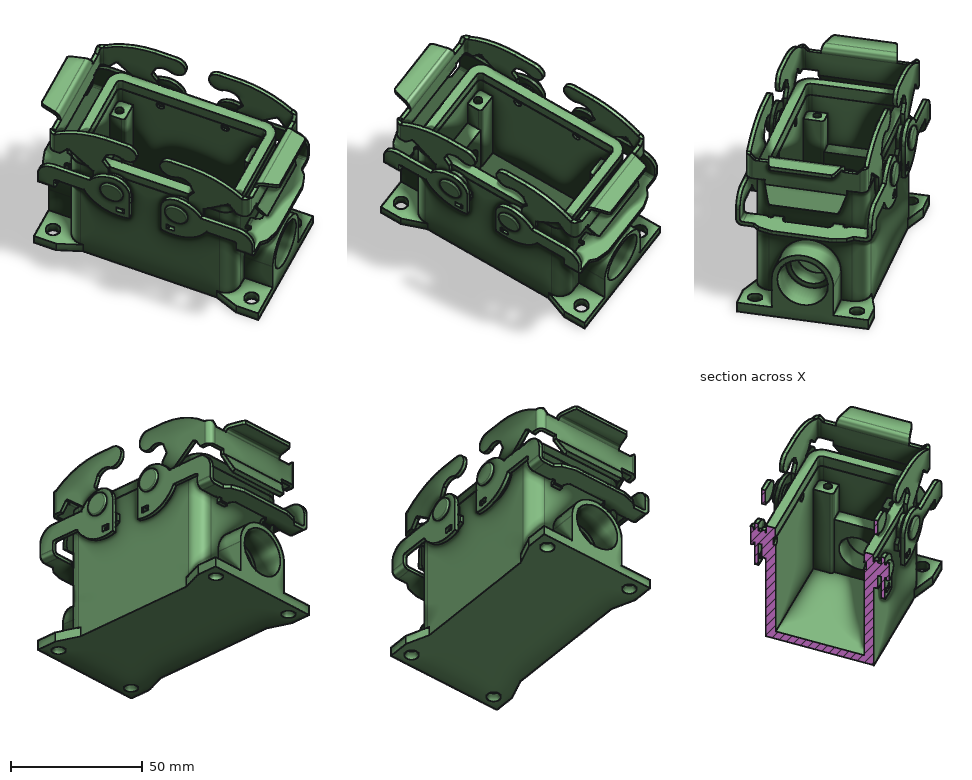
import cadquery as cq
import math

BODY_LENGTH = 69.7
BODY_WIDTH = 44.3
BODY_HEIGHT = 57.0
BODY_CORNER_RADIUS = 5.9
RIM_HEIGHT = 4.1
RIM_STEP = 0.1
MOUTH_DEPTH = 5.0

CAVITY_LENGTH = 61.8
CAVITY_WIDTH = 36.0
CAVITY_CORNER_RADIUS = 1.7

BASE_LENGTH = 93.2
BASE_WIDTH = 51.7
BASE_THICKNESS = 4.1
FOOT_FLAT_END = 37.4
FOOT_TAPER_END = 27.7
FOOT_HOLE_DIAMETER = 5.5
FOOT_HOLE_X = 41.3
FOOT_HOLE_Y = 20.0

ENTRY_RADIUS = 12.1
ENTRY_HEIGHT = 16.8
ENTRY_BORE_RADIUS = 9.9
ENTRY_BORE_DEPTH = 12.8
ENTRY_PASSAGE_RADIUS = 7.9

POST_LENGTH = 6.1
POST_WIDTH = 8.1
POST_TOP = 44.7
POST_CORNER_RADIUS = 1.3
SCREW_HOLE_DIAMETER = 3.2
SCREW_HOLE_DEPTH = 11.9
SCREW_HOLE_X = 28.4
SCREW_HOLE_Y = 13.5
LEDGE_LENGTH_MINUS_X = 5.0
LEDGE_LENGTH_PLUS_X = 6.0
LEDGE_TOP = 31.1

PIVOT_X = 13.5
PIVOT_Z = 50.0
PIN_DIAMETER = 6.9
PIN_HEAD_DIAMETER = 9.5
PIN_HEAD_THICKNESS = 1.3
PIN_HEAD_FILLET = 0.6
PIN_TIP = 28.5
RIVET_HOLE_DIAMETER = 3.2
RIVET_HOLE_DEPTH = 1.0

SHEET = 1.6
BEND_RADIUS = 2.7
BEND_OVERLAP = 0.5
BAIL_FACE_Y = 26.7
LEVER_FACE_Y = 23.9

BAIL_BACK_X = -44.6
BAIL_FRONT_X = -37.9
BAIL_NOSE_X = -48.3
BAIL_MIDDLE_X = -40.6
BAIL_BOTTOM = 37.6
BAIL_ARM_BOTTOM = 43.9
BAIL_ARM_TOP = 51.1
BAIL_ELBOW_RADIUS = 6.6
BAIL_INNER_FILLET = 1.0
BAIL_HEAD_RADIUS = 6.9
BAIL_END_X = BAIL_HEAD_RADIUS - PIVOT_X
STOP_TIP_X = -36.0
STOP_INNER_Y = 9.8
STOP_OUTER_Y = 13.9
STOP_DROP = 0.8
STOP_BEND_RADIUS = 1.5
BAR_BLEND_Y = 16.4
WINDOW_X = (-12.1, -8.7)
WINDOW_Z = (37.8, 40.1)
WINDOW_FILLET = 0.4
TONGUE_THICKNESS = 0.9
TONGUE_RECESS = 0.2

LEVER_BACK_X = -41.7
LEVER_BOTTOM = 57.3
LEVER_TOP = 67.4
LEVER_MIDDLE_TOP = 65.4
DIP_HALF_WIDTH = 22.1
HOOK_TOP = 75.0
HOOK_NOSE_RADIUS = 4.4
HOOK_NOSE_X = -9.2
LEVER_TAIL_X = -22.9
LEVER_TAIL_Z = 49.5
LEVER_TAIL_BOTTOM = 39.9
LEVER_TAIL_END_X = -7.0
HANDLE_TIP_X = -49.5
HANDLE_TOP = 68.4
HANDLE_ROOT_Y = 15.0
FLAP_TOP = 55.3
FLAP_BOTTOM = 47.7
FLAP_REACH = 3.4
FLAP_ROOT_Y = 16.0


def box(x_range, y_range, z_range):
    """Axis-aligned box between the given pairs of limits."""
    (x0, x1), (y0, y1), (z0, z1) = x_range, y_range, z_range
    return cq.Workplane("XY").box(x1 - x0, y1 - y0, z1 - z0, centered=False).translate((x0, y0, z0))


def rounded_block(length, width, radius, bottom, top):
    """Upright block with rounded vertical edges."""
    block = cq.Workplane("XY").workplane(offset=bottom).rect(length, width).extrude(top - bottom)
    return block.edges("|Z").fillet(radius)


def along_y(x, z, diameter, y0, y1):
    """Cylinder parallel to Y between y0 and y1."""
    plane = cq.Plane(origin=(x, y0, z), xDir=(1, 0, 0), normal=(0, 1, 0))
    return cq.Workplane(plane).circle(diameter / 2).extrude(y1 - y0)


def both_sides(shape):
    """Shape together with its mirror image across the XZ plane."""
    return shape.union(shape.mirror("XZ"))


def with_mirrored_second(half):
    """Points of a half outline followed by their mirror images, second coordinate negated."""
    return half + [(a, -b) for a, b in reversed(half)]


def with_mirrored_first(half):
    """Points of a half outline followed by their mirror images, first coordinate negated."""
    return half + [(-a, b) for a, b in reversed(half)]


def make_base():
    """Mounting plate with four tapered feet."""
    x_end, y_end = BASE_LENGTH / 2, BASE_WIDTH / 2
    quarter_edge = [(x_end, y_end), (FOOT_FLAT_END, y_end), (FOOT_TAPER_END, BODY_WIDTH / 2)]
    outline = with_mirrored_second(with_mirrored_first(quarter_edge))
    base = cq.Workplane("XY").polyline(outline).close().extrude(BASE_THICKNESS)
    return (
        base.faces(">Z").workplane(origin=(0, 0, BASE_THICKNESS))
        .rect(2 * FOOT_HOLE_X, 2 * FOOT_HOLE_Y, forConstruction=True)
        .vertices().hole(FOOT_HOLE_DIAMETER)
    )


def entry_cylinder(radius, length):
    """Cylinder on the cable entry axis, centred on the body."""
    return (
        cq.Workplane("YZ", origin=(-length / 2, 0, ENTRY_HEIGHT)).circle(radius).extrude(length)
    )


def make_shell():
    """Hollow body with a slightly stepped rim."""
    shoulder = BODY_HEIGHT - RIM_HEIGHT
    body = rounded_block(BODY_LENGTH, BODY_WIDTH, BODY_CORNER_RADIUS, 0, shoulder)
    rim = rounded_block(
        BODY_LENGTH - 2 * RIM_STEP, BODY_WIDTH - 2 * RIM_STEP,
        BODY_CORNER_RADIUS - RIM_STEP, shoulder, BODY_HEIGHT,
    )
    entry = (
        box((-BASE_LENGTH / 2, BASE_LENGTH / 2), (-ENTRY_RADIUS, ENTRY_RADIUS), (0, ENTRY_HEIGHT))
        .union(entry_cylinder(ENTRY_RADIUS, BASE_LENGTH))
    )
    mouth_bottom = BODY_HEIGHT - MOUTH_DEPTH
    cavity = rounded_block(CAVITY_LENGTH, CAVITY_WIDTH, CAVITY_CORNER_RADIUS, BASE_THICKNESS, mouth_bottom)
    mouth = rounded_block(
        CAVITY_LENGTH + 2 * RIM_STEP, CAVITY_WIDTH + 2 * RIM_STEP,
        CAVITY_CORNER_RADIUS + RIM_STEP, mouth_bottom, BODY_HEIGHT,
    )
    return body.union(rim).union(entry).union(make_base()).cut(cavity).cut(mouth)


def make_posts():
    """Two screw posts in the corners of the cavity's -X end."""
    wall_x, wall_y = -CAVITY_LENGTH / 2, CAVITY_WIDTH / 2
    post = box((wall_x, wall_x + POST_LENGTH), (wall_y - POST_WIDTH, wall_y), (BASE_THICKNESS, POST_TOP))
    post = post.edges("|Z and >X and <Y").fillet(POST_CORNER_RADIUS)
    corner = rounded_block(CAVITY_LENGTH, CAVITY_WIDTH, CAVITY_CORNER_RADIUS, BASE_THICKNESS, POST_TOP)
    screw_hole = (
        cq.Workplane("XY", origin=(-SCREW_HOLE_X, SCREW_HOLE_Y, POST_TOP))
        .circle(SCREW_HOLE_DIAMETER / 2).extrude(-SCREW_HOLE_DEPTH)
    )
    return both_sides(post.intersect(corner).cut(screw_hole))


def make_ledge(length):
    """Ledge along the cavity's -X wall, reaching between the posts."""
    wall_x, half_width = -CAVITY_LENGTH / 2, CAVITY_WIDTH / 2 - POST_WIDTH
    return box((wall_x, wall_x + length), (-half_width, half_width), (BASE_THICKNESS, LEDGE_TOP))


def make_pin():
    """Pivot pin standing out of the +Y wall."""
    wall = CAVITY_WIDTH / 2
    head_start = PIN_TIP - PIN_HEAD_THICKNESS
    shaft = along_y(-PIVOT_X, PIVOT_Z, PIN_DIAMETER, wall + RIVET_HOLE_DEPTH, head_start)
    head = along_y(-PIVOT_X, PIVOT_Z, PIN_HEAD_DIAMETER, head_start, PIN_TIP)
    return shaft.union(head.edges().fillet(PIN_HEAD_FILLET))


def plate(outline, face_y):
    """Sheet plate with its outer face at +face_y; the outline is drawn in the XZ plane."""
    return outline.close().extrude(-SHEET).translate((0, face_y - SHEET, 0))


def make_bail():
    """Outer bracket at the -X end: two arms joined by a cross bar."""
    head_top = PIVOT_Z + BAIL_HEAD_RADIUS
    diagonal = math.sqrt(0.5)
    elbow_x = BAIL_BACK_X + BAIL_ELBOW_RADIUS
    elbow_z = BAIL_ARM_TOP - BAIL_ELBOW_RADIUS
    bend_top = BAIL_BOTTOM + BEND_RADIUS
    arm_outline = (
        cq.Workplane("XZ").moveTo(BAIL_FRONT_X, bend_top)
        .lineTo(BAIL_FRONT_X, BAIL_ARM_BOTTOM - BAIL_INNER_FILLET)
        .radiusArc((BAIL_FRONT_X + BAIL_INNER_FILLET, BAIL_ARM_BOTTOM), BAIL_INNER_FILLET)
        .lineTo(-25.4, BAIL_ARM_BOTTOM)
        .threePointArc((-18.8, 37.3), (BAIL_END_X, 36.0))
        .lineTo(BAIL_END_X, PIVOT_Z)
        .threePointArc(
            (-PIVOT_X + BAIL_HEAD_RADIUS * diagonal, PIVOT_Z + BAIL_HEAD_RADIUS * diagonal),
            (-PIVOT_X, head_top),
        )
        .threePointArc((-19.1, 55.0), (-23.1, BAIL_ARM_TOP))
        .lineTo(elbow_x, BAIL_ARM_TOP)
        .threePointArc(
            (elbow_x - BAIL_ELBOW_RADIUS * diagonal, elbow_z + BAIL_ELBOW_RADIUS * diagonal),
            (BAIL_BACK_X, elbow_z),
        )
        .lineTo(BAIL_BACK_X, bend_top)
    )
    arms = both_sides(plate(arm_outline, BAIL_FACE_Y))

    leg_top = bend_top + BEND_OVERLAP
    outer = box((BAIL_BACK_X, BAIL_FRONT_X), (-BAIL_FACE_Y, BAIL_FACE_Y), (BAIL_BOTTOM, leg_top))
    outer = outer.edges("|X and <Z").fillet(BEND_RADIUS)
    inner_y = BAIL_FACE_Y - SHEET
    inner = box((BAIL_BACK_X, BAIL_FRONT_X), (-inner_y, inner_y), (BAIL_BOTTOM + SHEET, leg_top))
    inner = inner.edges("|X and <Z").fillet(BEND_RADIUS - SHEET)

    half_bar = [(BAIL_BACK_X, 19.6), (-46.7, 17.3), (-47.9, 13.5), (BAIL_NOSE_X, 11.9)]
    stop_root_x = STOP_TIP_X - SHEET
    half_front = [
        (BAIL_MIDDLE_X, 8.3), (-39.9, 9.2), (-38.6, STOP_INNER_Y),
        (stop_root_x, STOP_INNER_Y), (stop_root_x, STOP_OUTER_Y),
        (-38.4, STOP_OUTER_Y), (-38.7, 14.45), (-38.7, 15.2), (BAIL_FRONT_X, BAR_BLEND_Y),
    ]
    upper = half_front + half_bar
    bar = (
        cq.Workplane("XY", origin=(0, 0, BAIL_BOTTOM))
        .polyline(with_mirrored_second(upper)).close().extrude(SHEET)
    )
    stop = box(
        (stop_root_x, STOP_TIP_X), (STOP_INNER_Y, STOP_OUTER_Y),
        (BAIL_BOTTOM - STOP_DROP, BAIL_BOTTOM + SHEET),
    )
    stop = stop.edges("|Y and >X and >Z").fillet(STOP_BEND_RADIUS)

    window = box(WINDOW_X, (inner_y, BAIL_FACE_Y), WINDOW_Z).edges("|Y").fillet(WINDOW_FILLET)
    tongue = box(
        (WINDOW_X[1] - TONGUE_THICKNESS, WINDOW_X[1]), (LEVER_FACE_Y, BAIL_FACE_Y - TONGUE_RECESS), WINDOW_Z,
    )
    arms = arms.cut(both_sides(window)).union(both_sides(tongue))

    bends = outer.cut(inner).cut(box(
        (BAIL_BACK_X, BAIL_FRONT_X), (-BAR_BLEND_Y, BAR_BLEND_Y), (BAIL_BOTTOM, leg_top),
    ))
    return bends.union(bar).union(both_sides(stop)).union(arms)


def hook_outline():
    """Side profile of a lever: hook on top, tail around the pivot."""
    nose_z = HOOK_TOP - HOOK_NOSE_RADIUS
    bend_x = LEVER_BACK_X + BEND_RADIUS
    return (
        cq.Workplane("XZ").moveTo(bend_x, LEVER_BOTTOM)
        .lineTo(bend_x, LEVER_TOP)
        .threePointArc((-29.0, 72.8), (-17.8, HOOK_TOP))
        .lineTo(HOOK_NOSE_X, HOOK_TOP)
        .threePointArc((HOOK_NOSE_X + HOOK_NOSE_RADIUS, nose_z), (HOOK_NOSE_X, nose_z - HOOK_NOSE_RADIUS))
        .lineTo(-10.5, 66.5)
        .threePointArc((-14.4, 67.4), (-17.2, 65.7))
        .lineTo(-19.0, 61.4)
        .lineTo(-16.6, 58.0)
        .lineTo(-16.6, 53.0)
        .threePointArc((-10.5, 53.1), (-9.2, PIVOT_Z))
        .lineTo(-9.2, 46.9)
        .lineTo(LEVER_TAIL_END_X, 45.1)
        .lineTo(LEVER_TAIL_END_X, 42.0)
        .threePointArc((-13.4, LEVER_TAIL_BOTTOM), (LEVER_TAIL_X, LEVER_TAIL_Z))
        .lineTo(LEVER_TAIL_X, 53.2)
        .lineTo(-33.0, 61.3)
        .lineTo(-33.8, 61.1)
        .lineTo(-36.7, LEVER_BOTTOM)
    )


def make_handle():
    """Thumb rest bent outward from the top of the lever's back plate."""
    front_x = LEVER_BACK_X + SHEET
    root_z = HANDLE_TOP - SHEET
    bend_z = LEVER_MIDDLE_TOP
    profile = (
        cq.Workplane("XZ").moveTo(HANDLE_TIP_X, root_z)
        .lineTo(HANDLE_TIP_X, HANDLE_TOP)
        .lineTo(front_x - (HANDLE_TOP - bend_z), HANDLE_TOP)
        .radiusArc((front_x, bend_z), HANDLE_TOP - bend_z)
        .lineTo(LEVER_BACK_X, bend_z)
        .radiusArc((LEVER_BACK_X - (root_z - bend_z), root_z), -(root_z - bend_z))
        .close().extrude(HANDLE_ROOT_Y, both=True)
    )
    half = [(HANDLE_TIP_X, 12.2), (-48.4, 12.9), (front_x, HANDLE_ROOT_Y)]
    mask = (
        cq.Workplane("XY", origin=(0, 0, bend_z))
        .polyline(with_mirrored_second(half)).close().extrude(HANDLE_TOP - bend_z)
    )
    return profile.intersect(mask)


def make_flap():
    """Skirt leaning outward below the lever's back plate."""
    front_x = LEVER_BACK_X + SHEET
    profile = (
        cq.Workplane("XZ").moveTo(LEVER_BACK_X, LEVER_BOTTOM)
        .lineTo(front_x, LEVER_BOTTOM)
        .lineTo(front_x, FLAP_TOP)
        .lineTo(front_x - FLAP_REACH, FLAP_BOTTOM)
        .lineTo(LEVER_BACK_X - FLAP_REACH, FLAP_BOTTOM + SHEET / 2)
        .lineTo(LEVER_BACK_X, FLAP_TOP)
        .close().extrude(FLAP_ROOT_Y, both=True)
    )
    half = [(FLAP_ROOT_Y, LEVER_BOTTOM), (FLAP_ROOT_Y, FLAP_TOP), (14.0, 49.2), (12.9, FLAP_BOTTOM)]
    mask = (
        cq.Workplane("YZ", origin=(LEVER_BACK_X - FLAP_REACH, 0, 0))
        .polyline(with_mirrored_first(half)).close().extrude(FLAP_REACH + SHEET)
    )
    return profile.intersect(mask)


def make_lever():
    """Inner bracket at the -X end: two hooked arms, back plate, handle and flap."""
    leg_x = LEVER_BACK_X + BEND_RADIUS + BEND_OVERLAP
    outer = box((LEVER_BACK_X, leg_x), (-LEVER_FACE_Y, LEVER_FACE_Y), (LEVER_BOTTOM, LEVER_TOP))
    outer = outer.edges("|Z and <X").fillet(BEND_RADIUS)
    inner_y = LEVER_FACE_Y - SHEET
    inner = box((LEVER_BACK_X + SHEET, leg_x), (-inner_y, inner_y), (LEVER_BOTTOM, LEVER_TOP))
    inner = inner.edges("|Z and <X").fillet(BEND_RADIUS - SHEET)
    rise = LEVER_TOP - LEVER_MIDDLE_TOP
    half = [(DIP_HALF_WIDTH, LEVER_TOP), (DIP_HALF_WIDTH - rise, LEVER_MIDDLE_TOP)]
    dip = (
        cq.Workplane("YZ", origin=(LEVER_BACK_X, 0, 0))
        .polyline(with_mirrored_first(half)).close().extrude(BEND_RADIUS)
    )
    arms = both_sides(plate(hook_outline(), LEVER_FACE_Y))
    return outer.cut(inner).cut(dip).union(make_handle()).union(make_flap()).union(arms)


end_parts = (
    make_posts()
    .union(both_sides(make_pin()))
    .union(make_bail())
    .union(make_lever())
)
result = make_shell().union(end_parts).union(end_parts.mirror("YZ"))
result = result.union(make_ledge(LEDGE_LENGTH_MINUS_X))
result = result.union(make_ledge(LEDGE_LENGTH_PLUS_X).mirror("YZ"))

passage = entry_cylinder(ENTRY_PASSAGE_RADIUS, BASE_LENGTH)
between_bores = entry_cylinder(ENTRY_BORE_RADIUS, BASE_LENGTH - 2 * ENTRY_BORE_DEPTH)
wide_bores = entry_cylinder(ENTRY_BORE_RADIUS, BASE_LENGTH).cut(between_bores)
result = result.cut(passage).cut(wide_bores)

rivet_hole = along_y(-PIVOT_X, PIVOT_Z, RIVET_HOLE_DIAMETER, 0, CAVITY_WIDTH / 2 + RIVET_HOLE_DEPTH)
rivet_holes = both_sides(rivet_hole)
result = result.cut(rivet_holes).cut(rivet_holes.mirror("YZ"))